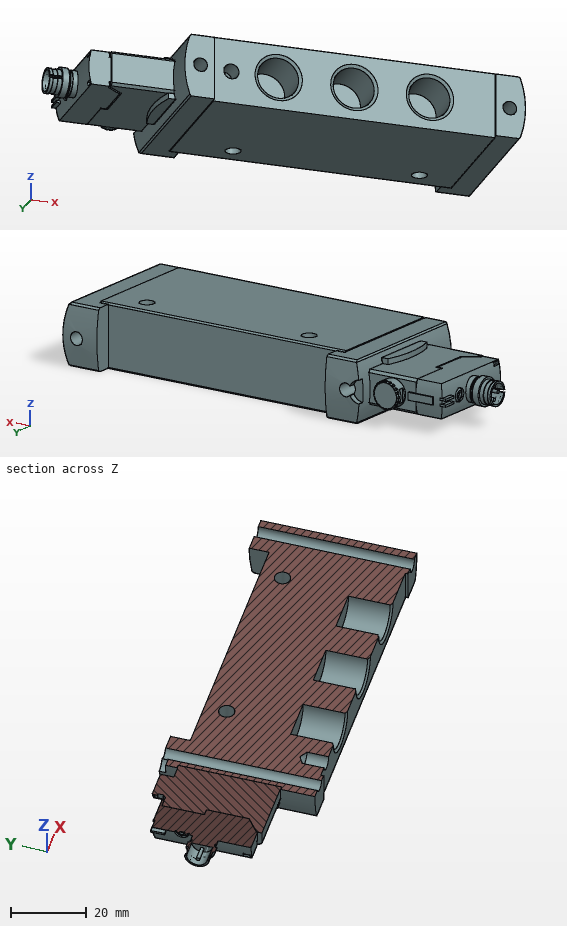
import cadquery as cq
import math


block_length = 78.6
block_front = -20.8
block_back = 16.1
block_thickness = 18.3
block_edge_chamfer = 0.5

cap_front = -21.55
cap_back = 21.55
cap_reach = 47.55
cap_flat_reach = 45.75
cap_thickness = 17.7
cap_chamfer_length = 0.4
cap_chamfer_height = 0.5
cap_back_flat = 20.0
cap_back_chamfer = 0.75
lug_start = 36.6

port_pitch = 21.1
port_diameter = 11.45
port_mouth_diameter = 13.2
port_chamfer = 0.5
port_depth = 12.0
pilot_port_x = -34.3
pilot_port_diameter = 4.2
pilot_port_depth = 6.0
drill_point_angle = 118.0
cap_hole_x = 43.15
cap_hole_z = 0.45
cap_hole_diameter = 3.8
mount_hole_x = (-23.5, 28.5)
mount_hole_y = 9.9
mount_hole_diameter = 4.2
tool_groove_diameter = 6.5
tool_groove_bottom = 19.7

pilot_mid_z = 0.5
pilot_thickness = 9.8
pilot_front = -12.0
pilot_back = 16.4
pilot_chamfer = 0.75
pilot_seat_x = -46.6
tab_thickness = 1.6
tab_length = 18.2
tab_tip_x = -50.1
tab_corner_x = -48.7
tab_middle_y = -0.95
tab_offset_y = 1.53
knob_x = -54.9
knob_diameter = 8.0
knob_top = 20.1
knob_notch_count = 20
knob_notch_width = 0.5
knob_notch_depth = 0.4
knob_notch_height = 0.8
knob_rim_chamfer = 0.4
knob_recess_width = 3.9
knob_recess_bottom = 17.0
knob_recess_top = 18.6
knob_recess_depth = 0.6

joint_x = -62.3
joint_step_x = -60.4
joint_step_y = 4.5
joint_bend_y = -7.1
joint_tip_x = -64.6
joint_tip_y = -10.4
joint_gap = 0.4
joint_core_thickness = 7.0

box_nose_x = -70.7
box_edge_x = -70.0
box_front = -10.8
box_back_edge = 15.8
box_back = 16.6
latch_width = 2.2
clip_fin_thickness = 0.6
latch_top = 17.0
latch_start_x = -68.0
latch_end_x = -60.1
clip_x = -71.9
clip_bottom = 12.7
screw_y = 8.35
screw_recess_diameter = 3.9
screw_recess_depth = 0.6
screw_base_diameter = 3.8
screw_top_diameter = 2.4
screw_socket_diameter = 1.6
window_y = -9.4
window_offset_z = 4.1
window_length = 1.9
window_height = 1.0
window_depth = 0.5

plug_y = 1.9
plug_tip_x = -78.4
plug_root_x = -69.9
plug_collar_start = 3.4
plug_sleeve_diameter = 6.9
plug_neck_diameter = 7.2
plug_groove_diameter = 6.5
plug_steps = (
    (0.0, 0.9, plug_sleeve_diameter),
    (0.9, 2.2, plug_groove_diameter),
    (2.2, plug_collar_start, plug_sleeve_diameter),
    (plug_collar_start, 5.3, 8.1),
    (5.3, 5.8, plug_neck_diameter),
    (5.8, 6.4, plug_groove_diameter),
    (6.4, plug_root_x - plug_tip_x, plug_neck_diameter),
)
plug_bore_diameter = 5.8
plug_bore_depth = 5.0
plug_pin_diameter = 1.0
plug_pin_circle = 3.6
plug_pin_length = 4.0
plug_pin_angles = (90, 180, 270)
plug_key_width = 0.8


def box_between(x0, x1, y0, y1, z0, z1):
    """Box given by its limits along the three axes."""
    return cq.Workplane("XY").box(x1 - x0, y1 - y0, z1 - z0, centered=False).translate((x0, y0, z0))


def rod_along_x(x0, x1, y, z, diameter):
    return cq.Workplane("YZ", origin=(x0, y, z)).circle(diameter / 2).extrude(x1 - x0)


def rod_along_y(x, y0, y1, z, diameter):
    return cq.Workplane("XZ", origin=(x, y0, z)).circle(diameter / 2).extrude(y0 - y1)


def make_cap(side):
    """End cap on the given side (-1 or +1): outer end and back are bowed, with a lug behind the block."""
    half = cap_thickness / 2
    inner = block_length / 2
    shoulder_x = cap_flat_reach + cap_chamfer_length
    shoulder_z = half - cap_chamfer_height
    end_profile = (
        cq.Workplane("XZ", origin=(0, cap_back, 0))
        .moveTo(side * lug_start, -half)
        .lineTo(side * cap_flat_reach, -half)
        .lineTo(side * shoulder_x, -shoulder_z)
        .threePointArc((side * cap_reach, 0), (side * shoulder_x, shoulder_z))
        .lineTo(side * cap_flat_reach, half)
        .lineTo(side * lug_start, half)
        .close()
        .extrude(cap_back - cap_front)
    )
    back_edge = cap_back_flat + cap_back_chamfer
    back_profile = (
        cq.Workplane("YZ", origin=(-cap_reach, 0, 0))
        .moveTo(cap_front, -half)
        .lineTo(cap_back_flat, -half)
        .lineTo(back_edge, -shoulder_z)
        .threePointArc((cap_back, 0), (back_edge, shoulder_z))
        .lineTo(cap_back_flat, half)
        .lineTo(cap_front, half)
        .close()
        .extrude(2 * cap_reach)
    )
    block_space = box_between(-inner, inner, cap_front, block_back, -half, half)
    return end_profile.intersect(back_profile).cut(block_space)


def make_block():
    half = block_thickness / 2
    block = box_between(-block_length / 2, block_length / 2, block_front, block_back, -half, half)
    return block.faces(">Y").edges("|X").chamfer(block_edge_chamfer)


def make_port(x):
    """Port with a chamfered mouth and a flat bottom."""
    port = rod_along_y(x, block_front, block_front + port_depth, 0, port_diameter)
    mouth = cq.Solid.makeCone(
        port_mouth_diameter / 2, port_diameter / 2, port_chamfer,
        pnt=cq.Vector(x, block_front, 0), dir=cq.Vector(0, 1, 0),
    )
    return port.union(cq.Workplane(mouth))


def make_pilot_port():
    """Small drilled hole with a conical bottom."""
    radius = pilot_port_diameter / 2
    bottom = block_front + pilot_port_depth
    point_length = radius / math.tan(math.radians(drill_point_angle / 2))
    point = cq.Solid.makeCone(
        radius, 0, point_length, pnt=cq.Vector(pilot_port_x, bottom, 0), dir=cq.Vector(0, 1, 0)
    )
    return rod_along_y(pilot_port_x, block_front, bottom, 0, pilot_port_diameter).union(cq.Workplane(point))


def make_valve(pilot):
    valve = make_block()
    for side in (-1, 1):
        valve = valve.union(make_cap(side))
    for index in (-1, 0, 1):
        valve = valve.cut(make_port(index * port_pitch))
    valve = valve.cut(make_pilot_port())
    for side in (-1, 1):
        valve = valve.cut(
            rod_along_y(side * cap_hole_x, cap_front, cap_back, -side * cap_hole_z, cap_hole_diameter)
        )
    for x in mount_hole_x:
        valve = valve.cut(
            cq.Workplane("XY", origin=(x, mount_hole_y, -block_thickness / 2))
            .circle(mount_hole_diameter / 2)
            .extrude(block_thickness)
        )
    groove = rod_along_y(-cap_reach, tool_groove_bottom, cap_back, pilot_mid_z, tool_groove_diameter)
    return valve.cut(groove).cut(pilot)


def make_tab(side):
    """Bowed tab against the cap, above (+1) or below (-1) the pilot."""
    middle_y = tab_middle_y + side * tab_offset_y
    low_y = middle_y - tab_length / 2
    high_y = middle_y + tab_length / 2
    start_z = pilot_mid_z + side * pilot_thickness / 2
    return (
        cq.Workplane("XY", origin=(0, 0, start_z))
        .moveTo(pilot_seat_x, low_y)
        .lineTo(tab_corner_x, low_y)
        .threePointArc((tab_tip_x, middle_y), (tab_corner_x, high_y))
        .lineTo(pilot_seat_x, high_y)
        .close()
        .extrude(side * tab_thickness)
    )


def make_knob():
    """Manual override knob: a round cylinder with notches around its top rim and a side recess."""
    knob = rod_along_y(knob_x, pilot_back, knob_top, pilot_mid_z, knob_diameter)
    knob = knob.faces(">Y").chamfer(knob_rim_chamfer)
    notch = (
        cq.Workplane("XY")
        .box(2 * knob_notch_depth, 2 * knob_notch_height, knob_notch_width)
        .translate((knob_diameter / 2, 0, 0))
    )
    for index in range(knob_notch_count):
        turned = notch.rotate((0, 0, 0), (0, 1, 0), index * 360 / knob_notch_count)
        knob = knob.cut(turned.translate((knob_x, knob_top, pilot_mid_z)))
    side_x = knob_x - knob_diameter / 2
    recess = box_between(
        side_x, side_x + knob_recess_depth,
        knob_recess_bottom, knob_recess_top,
        pilot_mid_z - knob_recess_width / 2, pilot_mid_z + knob_recess_width / 2,
    )
    return knob.cut(recess)


def make_pilot():
    """Pilot body with chamfered long edges; its outer end follows the stepped joint."""
    bottom_z = pilot_mid_z - pilot_thickness / 2
    outline = (
        cq.Workplane("XY", origin=(0, 0, bottom_z))
        .moveTo(pilot_seat_x, pilot_back)
        .lineTo(joint_x, pilot_back)
        .lineTo(joint_x, joint_step_y)
        .lineTo(joint_step_x, joint_step_y)
        .lineTo(joint_step_x, joint_bend_y)
        .lineTo(joint_tip_x, joint_tip_y)
        .lineTo(joint_tip_x, pilot_front)
        .lineTo(pilot_seat_x, pilot_front)
        .close()
        .extrude(pilot_thickness)
    )
    pilot = outline.faces("<Y or >Y").edges("|X").chamfer(pilot_chamfer)
    for side in (-1, 1):
        pilot = pilot.union(make_tab(side))
    return pilot.union(make_knob())


def make_box_outline(gap, thickness):
    """Slab of the connector box, shaped to the joint and set back from the pilot's steps by the gap."""
    face_x = joint_step_x - gap
    tip_x = joint_tip_x - gap
    return (
        cq.Workplane("XY", origin=(0, 0, pilot_mid_z - thickness / 2))
        .moveTo(joint_x, box_back)
        .lineTo(box_nose_x, box_back)
        .lineTo(box_nose_x, box_front)
        .lineTo(tip_x, box_front)
        .lineTo(tip_x, joint_tip_y + gap)
        .lineTo(face_x, joint_bend_y + gap)
        .lineTo(face_x, joint_step_y - gap)
        .lineTo(joint_x, joint_step_y - gap)
        .close()
        .extrude(thickness)
    )


def make_box_shell():
    """Box with bowed nose and back; grooves above and below a core that meets the pilot mark the joint."""
    bottom_z = pilot_mid_z - pilot_thickness / 2
    top_z = pilot_mid_z + pilot_thickness / 2
    outline = make_box_outline(joint_gap, pilot_thickness)
    outline = outline.union(make_box_outline(0, joint_core_thickness))
    nose_profile = (
        cq.Workplane("XZ", origin=(0, box_back, 0))
        .moveTo(joint_step_x, bottom_z)
        .lineTo(box_edge_x, bottom_z)
        .threePointArc((box_nose_x, pilot_mid_z), (box_edge_x, top_z))
        .lineTo(joint_step_x, top_z)
        .close()
        .extrude(box_back - box_front)
    )
    back_profile = (
        cq.Workplane("YZ", origin=(box_nose_x, 0, 0))
        .moveTo(box_front, bottom_z)
        .lineTo(box_back_edge, bottom_z)
        .threePointArc((box_back, pilot_mid_z), (box_back_edge, top_z))
        .lineTo(box_front, top_z)
        .close()
        .extrude(joint_step_x - box_nose_x)
    )
    return outline.intersect(nose_profile).intersect(back_profile)


def make_latch():
    """Latch strip along the back, resting on the pilot, and two clip fins at the nose."""
    low_z = pilot_mid_z - latch_width / 2
    high_z = pilot_mid_z + latch_width / 2
    latch = box_between(latch_start_x, latch_end_x, pilot_back, latch_top, low_z, high_z)
    for fin_z in (low_z, high_z - clip_fin_thickness):
        fin = box_between(clip_x, box_edge_x, clip_bottom, box_back, fin_z, fin_z + clip_fin_thickness)
        latch = latch.union(fin)
    return latch


def make_plug():
    """Round connector: stepped sleeve, keyed bore and contact pins."""
    plug = cq.Workplane("YZ")
    for start, end, diameter in plug_steps:
        plug = plug.union(
            rod_along_x(plug_tip_x + start, plug_tip_x + end, plug_y, pilot_mid_z, diameter)
        )
    floor_x = plug_tip_x + plug_bore_depth
    plug = plug.cut(rod_along_x(plug_tip_x, floor_x, plug_y, pilot_mid_z, plug_bore_diameter))
    plug = plug.cut(
        box_between(
            plug_tip_x, plug_tip_x + plug_collar_start,
            plug_y - plug_sleeve_diameter / 2, plug_y - plug_bore_diameter / 2 + plug_key_width / 2,
            pilot_mid_z - plug_key_width / 2, pilot_mid_z + plug_key_width / 2,
        )
    )
    for angle in plug_pin_angles:
        pin_y = plug_y + plug_pin_circle / 2 * math.cos(math.radians(angle))
        pin_z = pilot_mid_z + plug_pin_circle / 2 * math.sin(math.radians(angle))
        plug = plug.union(rod_along_x(floor_x - plug_pin_length, floor_x, pin_y, pin_z, plug_pin_diameter))
    return plug


def make_connector_box():
    box = make_box_shell().union(make_latch())
    recess_floor = box_nose_x + screw_recess_depth
    box = box.cut(rod_along_x(box_nose_x, recess_floor, screw_y, pilot_mid_z, screw_recess_diameter))
    head = cq.Solid.makeCone(
        screw_base_diameter / 2, screw_top_diameter / 2, screw_recess_depth,
        pnt=cq.Vector(recess_floor, screw_y, pilot_mid_z), dir=cq.Vector(-1, 0, 0),
    )
    box = box.union(cq.Workplane(head))
    box = box.cut(rod_along_x(box_nose_x, recess_floor, screw_y, pilot_mid_z, screw_socket_diameter))
    for side in (-1, 1):
        window = cq.Workplane("XY").box(2 * window_depth, window_length, window_height)
        box = box.cut(window.translate((box_edge_x, window_y, pilot_mid_z + side * window_offset_z)))
    return box.union(make_plug())


pilot = make_pilot()
valve = make_valve(pilot)
connector_box = make_connector_box()

result = cq.Compound.makeCompound([valve.solids().val(), pilot.solids().val(), connector_box.solids().val()])